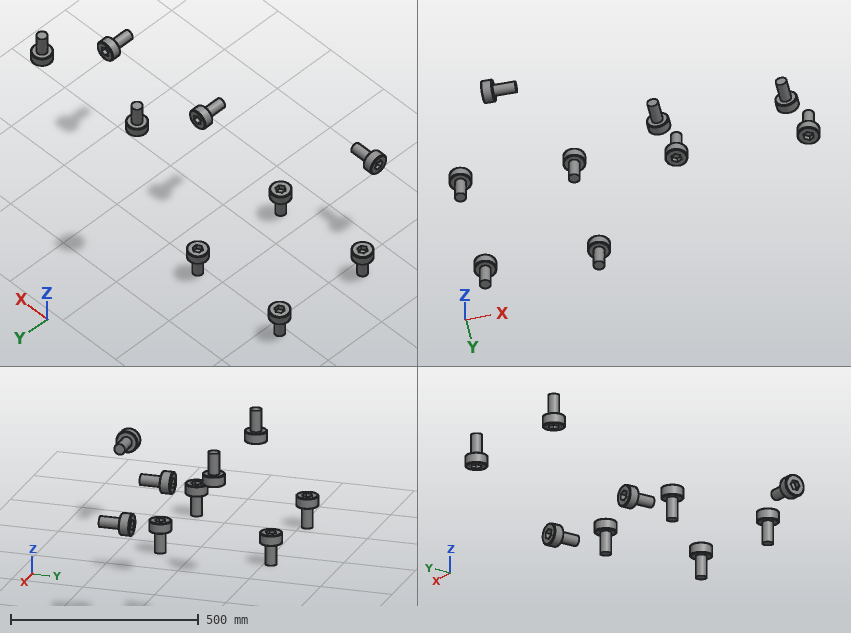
import cadquery as cq
import math

SHANK_DIAMETER = 30.0
SHANK_LENGTH = 60.0
HEAD_DIAMETER = 2 * SHANK_DIAMETER
HEAD_HEIGHT = SHANK_DIAMETER
HEAD_CHAMFER = 2.5
SOCKET_ACROSS_FLATS = 25.0
SOCKET_ACROSS_CORNERS = SOCKET_ACROSS_FLATS / math.cos(math.pi / 6)
SOCKET_DEPTH = HEAD_HEIGHT / 2

SQUARE_SPACING = 310.0

PAIR_CENTRE_X = 540.0
INVERTED_SPACING = 360.0
INVERTED_Y = 180.0
INVERTED_SEAT_Z = 390.0
REAR_SPACING = 350.0
REAR_SEAT_Y = -80.0
REAR_Z = 217.0

SIDE_SEAT_X = -30.0
SIDE_Y = -310.0
SIDE_Z = 170.0


def make_screw(seat, drive, corner):
    """Screw with its head seating at `seat`, its shank pointing along `drive`
    and a corner of its hexagon socket pointing along `corner`."""
    head_direction = cq.Vector(*drive) * -1
    seat_plane = cq.Plane(origin=seat, xDir=corner, normal=head_direction)
    head = (
        cq.Workplane(seat_plane)
        .circle(HEAD_DIAMETER / 2)
        .extrude(HEAD_HEIGHT)
        .edges()
        .chamfer(HEAD_CHAMFER)
    )
    shank = cq.Workplane(seat_plane).circle(SHANK_DIAMETER / 2).extrude(-SHANK_LENGTH)
    socket = (
        cq.Workplane(seat_plane)
        .workplane(offset=HEAD_HEIGHT)
        .polygon(6, SOCKET_ACROSS_CORNERS)
        .extrude(-SOCKET_DEPTH)
    )
    return head.union(shank).cut(socket)


def pair_positions(centre, spacing):
    """Two positions placed evenly about `centre`."""
    return [centre - spacing / 2, centre + spacing / 2]


UP, DOWN = (0, 0, 1), (0, 0, -1)
RIGHT = (1, 0, 0)
BACK, FORWARD = (0, 1, 0), (0, -1, 0)

upright_screws = [
    make_screw((x, y, 0), DOWN, BACK)
    for x in pair_positions(0, SQUARE_SPACING)
    for y in pair_positions(0, SQUARE_SPACING)
]

inverted_screws = [
    make_screw((x, INVERTED_Y, INVERTED_SEAT_Z), UP, BACK)
    for x in pair_positions(PAIR_CENTRE_X, INVERTED_SPACING)
]

rear_screws = [
    make_screw((x, REAR_SEAT_Y, REAR_Z), FORWARD, UP)
    for x in pair_positions(PAIR_CENTRE_X, REAR_SPACING)
]

side_screw = make_screw((SIDE_SEAT_X, SIDE_Y, SIDE_Z), RIGHT, BACK)

all_screws = [*upright_screws, *inverted_screws, *rear_screws, side_screw]
result = cq.Compound.makeCompound([screw.val() for screw in all_screws])